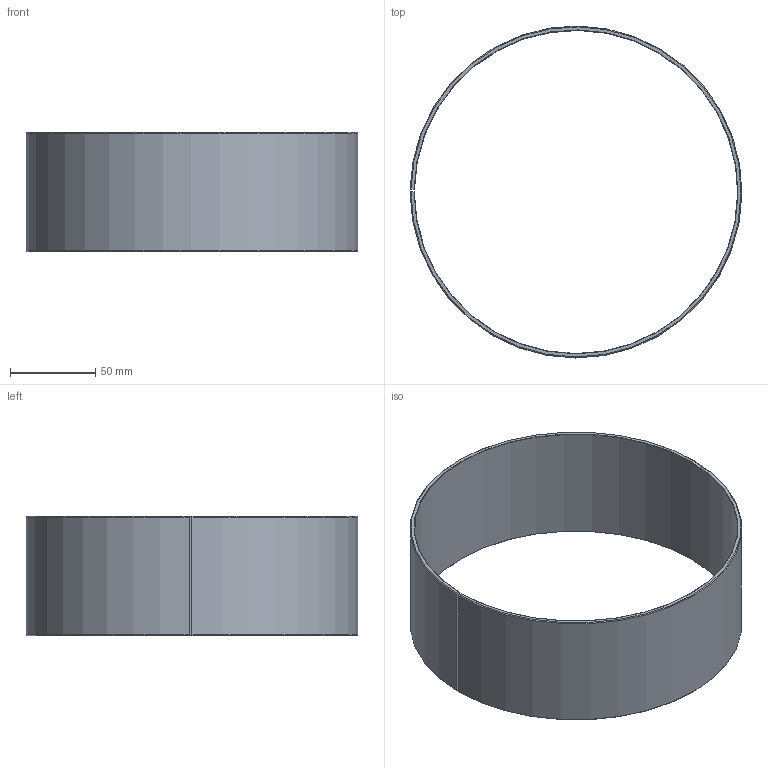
import cadquery as cq

outer_diameter = 195.0
wall_thickness = 2.5
height = 70.0
gap_angle = 1.0
outer_chamfer = 0.5
inner_chamfer = 0.2

outer_radius = outer_diameter / 2
inner_radius = outer_radius - wall_thickness


def make_wall_section():
    """Wall cross-section on the -X side, with all four corners chamfered."""
    outer_x = -outer_radius
    inner_x = -inner_radius
    corners = [
        (outer_x, outer_chamfer),
        (outer_x, height - outer_chamfer),
        (outer_x + outer_chamfer, height),
        (inner_x - inner_chamfer, height),
        (inner_x, height - inner_chamfer),
        (inner_x, inner_chamfer),
        (inner_x - inner_chamfer, 0),
        (outer_x + outer_chamfer, 0),
    ]
    return cq.Workplane("XZ").polyline(corners).close()


def make_split_ring():
    """Sweep the section about Z from the Y = 0 plane, leaving a gap on the +Y side of -X."""
    sweep_angle = 360 - gap_angle
    return make_wall_section().revolve(sweep_angle, (0, 0), (0, 1))


result = make_split_ring()